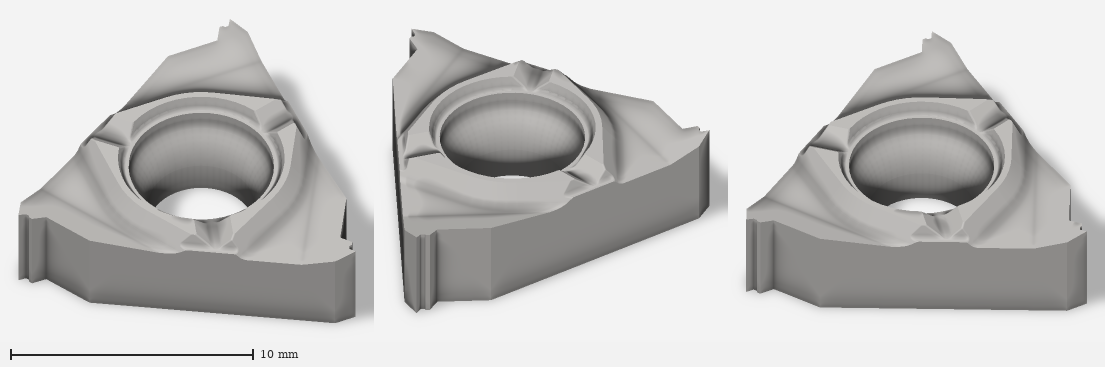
import cadquery as cq
import math

CORNERS = 3
HEIGHT = 4.2
FLANK_DISTANCE = 4.75

NEXT_FLANK_ANGLE = -60
FLANK_END_Y = -6.105
TIP_EDGE_LENGTH = 0.925
TIP_EDGE_ANGLE = 60
RELIEF_Y = -6.165
TOOTH_ROOT_X = -3.4
CREST_STEP_Y = -6.62
CREST_EDGE_Y = -6.7
CREST_STEP_START_X = -4.1
CREST_STEP_END_X = -3.94
CREST_EDGE_START_X = -3.89
CREST_EDGE_END_X = -3.73

FLOOR_Z = 3.38
RAMP_FOLD_Y = -4.715
RAMP_ANGLE = 15
RAMP_FOLD_RADIUS = 0.35
RAMP_END_Y = -8.0

BOSS_RADIUS = 3.71
BOSS_SIDE_ANGLE = 40
BOSS_FOOT_RADIUS = 0.4
BOSS_ARC_START = -1.4
BOSS_ARC_END = 30
CUT_REACH = 10.0

GROOVE_ANGLE = 74
GROOVE_FLOOR_Z = 3.7
GROOVE_TOP_WIDTH = 1.5
GROOVE_FLOOR_WIDTH = 0.25
GROOVE_FLOOR_RADIUS = 0.26
GROOVE_START = 2.6
LEDGE_Z = 3.68
LEDGE_FLAT_WIDTH = 0.08
LEDGE_FILLET = 0.22
LEDGE_WALL_ANGLE = 20
LEDGE_FLANK_ANGLE = 60
LEDGE_LENGTH = 5.0
PAD_EDGE_RADIUS = 0.08

HOLE_RADIUS = 4.4 / 2
SEAT_START_Z = 1.35
SEAT_ARC_RADIUS = 2.2
SEAT_ARC_ANGLE = 45
COUNTERBORE_RADIUS = 3.0
COUNTERBORE_FILLET = 0.5
RIM_FLOOR_Z = 3.7
RIM_WALL_ANGLE = 20
RIM_TOP_RADIUS = 3.44
RIM_FILLET = 0.2


def polar(radius, angle):
    """Point at a radius and a polar angle in degrees."""
    return radius * math.cos(math.radians(angle)), radius * math.sin(math.radians(angle))


def turned(point, angle):
    """Point turned about the origin by an angle in degrees."""
    c, s = polar(1, angle)
    return point[0] * c - point[1] * s, point[0] * s + point[1] * c


def around(solid):
    """The solid repeated once for each corner."""
    copies = [solid.rotate((0, 0, 0), (0, 0, 1), 360 / CORNERS * i) for i in range(CORNERS)]
    joined = copies[0]
    for copy in copies[1:]:
        joined = joined.union(copy)
    return joined


def upright(angle):
    """Plane with local x pointing outward at a polar angle and local y up; normal is clockwise."""
    outward = polar(1, angle)
    return cq.Plane(origin=(0, 0, 0), xDir=(*outward, 0), normal=(outward[1], -outward[0], 0))


def corner_points():
    """Outline of one corner, counterclockwise from the end of its flank to the next flank."""
    step_x, step_y = polar(TIP_EDGE_LENGTH, TIP_EDGE_ANGLE)
    tip = (-FLANK_DISTANCE + step_x, FLANK_END_Y - step_y)
    next_flank_normal = polar(1, NEXT_FLANK_ANGLE)
    relief_end_x = (FLANK_DISTANCE - RELIEF_Y * next_flank_normal[1]) / next_flank_normal[0]
    return [
        (-FLANK_DISTANCE, FLANK_END_Y),
        tip,
        (CREST_STEP_START_X, CREST_STEP_Y),
        (CREST_STEP_END_X, CREST_STEP_Y),
        (CREST_EDGE_START_X, CREST_EDGE_Y),
        (CREST_EDGE_END_X, CREST_EDGE_Y),
        (TOOTH_ROOT_X, RELIEF_Y),
        (relief_end_x, RELIEF_Y),
    ]


def outline_prism():
    """Full-height prism of the three-cornered outline."""
    points = []
    for i in range(CORNERS):
        points += [turned(p, 360 / CORNERS * i) for p in corner_points()]
    return cq.Workplane("XY").polyline(points).close().extrude(HEIGHT)


def boss_side_section(plane):
    """Region outside the boss side: sloped side, foot fillet and chip-face floor."""
    slope = math.radians(BOSS_SIDE_ANGLE)
    foot_r = BOSS_RADIUS + (HEIGHT - FLOOR_Z) * math.tan(slope)
    tangent = BOSS_FOOT_RADIUS * math.tan((math.pi / 2 - slope) / 2)
    fillet_start = (foot_r - tangent * math.sin(slope), FLOOR_Z + tangent * math.cos(slope))
    fillet_end = (foot_r + tangent, FLOOR_Z)
    centre = (fillet_end[0], FLOOR_Z + BOSS_FOOT_RADIUS)
    mid_dx, mid_dy = polar(BOSS_FOOT_RADIUS, -90 - (90 - BOSS_SIDE_ANGLE) / 2)
    return (
        cq.Workplane(plane)
        .moveTo(BOSS_RADIUS, HEIGHT)
        .lineTo(*fillet_start)
        .threePointArc((centre[0] + mid_dx, centre[1] + mid_dy), fillet_end)
        .lineTo(CUT_REACH, FLOOR_Z)
        .lineTo(CUT_REACH, HEIGHT)
        .close()
    )


def chip_floor_cut():
    """Material around one third of the boss: a round stretch between two straight ones."""
    arc = BOSS_ARC_END - BOSS_ARC_START
    round_part = boss_side_section(upright(BOSS_ARC_END)).revolve(arc, (0, 0, 0), (0, -1, 0))
    leading = boss_side_section(upright(BOSS_ARC_END)).extrude(-CUT_REACH)
    trailing = boss_side_section(upright(BOSS_ARC_START)).extrude(CUT_REACH)
    return round_part.union(leading).union(trailing)


def ramp():
    """Rake ramp of the (-X, -Y) corner, with a rounded fold where it leaves the floor."""
    tangent = RAMP_FOLD_RADIUS * math.tan(math.radians(RAMP_ANGLE / 2))
    slope = math.tan(math.radians(RAMP_ANGLE))
    run, climb = polar(tangent, RAMP_ANGLE)
    fold_start = (RAMP_FOLD_Y + tangent, FLOOR_Z)
    fold_end = (RAMP_FOLD_Y - run, FLOOR_Z + climb)
    mid_dy, mid_dz = polar(RAMP_FOLD_RADIUS, -90 - RAMP_ANGLE / 2)
    fold_mid = (fold_start[0] + mid_dy, FLOOR_Z + RAMP_FOLD_RADIUS + mid_dz)
    return (
        cq.Workplane("YZ")
        .moveTo(fold_start[0], 0)
        .lineTo(*fold_start)
        .threePointArc(fold_mid, fold_end)
        .lineTo(RAMP_END_Y, FLOOR_Z + (RAMP_FOLD_Y - RAMP_END_Y) * slope)
        .lineTo(RAMP_END_Y, 0)
        .close()
        .extrude(FLANK_DISTANCE, both=True)
    )


def groove():
    """Trapezoidal groove from the hole outward through the boss."""
    along = polar(1, GROOVE_ANGLE)
    across = cq.Plane(
        origin=(*polar(GROOVE_START, GROOVE_ANGLE), 0),
        xDir=(*polar(1, GROOVE_ANGLE + 90), 0),
        normal=(*along, 0),
    )
    return (
        cq.Workplane(across)
        .moveTo(-GROOVE_FLOOR_WIDTH / 2, GROOVE_FLOOR_Z)
        .lineTo(GROOVE_FLOOR_WIDTH / 2, GROOVE_FLOOR_Z)
        .lineTo(GROOVE_TOP_WIDTH / 2, HEIGHT)
        .lineTo(-GROOVE_TOP_WIDTH / 2, HEIGHT)
        .close()
        .extrude(CUT_REACH)
        .faces("<Z")
        .edges(cq.selectors.ParallelDirSelector(cq.Vector(*along, 0)))
        .fillet(GROOVE_FLOOR_RADIUS)
    )


def ledge():
    """Step along a flank: flat strip, fillet and steep wall up to the top face."""
    wall_foot = FLANK_DISTANCE - LEDGE_FLAT_WIDTH
    end_dr, end_dz = polar(LEDGE_FILLET, 180 + LEDGE_WALL_ANGLE)
    mid_dr, mid_dz = polar(LEDGE_FILLET, -90 - (90 - LEDGE_WALL_ANGLE) / 2)
    fillet_centre_z = LEDGE_Z + LEDGE_FILLET
    wall_start = (wall_foot + end_dr, fillet_centre_z + end_dz)
    wall_top = wall_start[0] - (HEIGHT - wall_start[1]) * math.tan(math.radians(LEDGE_WALL_ANGLE))
    return (
        cq.Workplane(upright(LEDGE_FLANK_ANGLE))
        .moveTo(CUT_REACH, LEDGE_Z)
        .lineTo(wall_foot, LEDGE_Z)
        .threePointArc((wall_foot + mid_dr, fillet_centre_z + mid_dz), wall_start)
        .lineTo(wall_top, HEIGHT)
        .lineTo(CUT_REACH, HEIGHT)
        .close()
        .extrude(LEDGE_LENGTH / 2, both=True)
    )


def screw_hole():
    """Bore, flared screw seat, counterbore and recessed rim, turned about Z."""
    centre_r = HOLE_RADIUS + SEAT_ARC_RADIUS
    seat_mid_dr, seat_mid_dz = polar(SEAT_ARC_RADIUS, 180 - SEAT_ARC_ANGLE / 2)
    seat_end_dr, seat_end_dz = polar(SEAT_ARC_RADIUS, 180 - SEAT_ARC_ANGLE)
    seat_end = (centre_r + seat_end_dr, SEAT_START_Z + seat_end_dz)
    cone_top_z = seat_end[1] + (COUNTERBORE_RADIUS - seat_end[0]) / math.tan(math.radians(SEAT_ARC_ANGLE))
    tangent = COUNTERBORE_FILLET * math.tan(math.radians(SEAT_ARC_ANGLE / 2))
    run, climb = polar(tangent, 90 - SEAT_ARC_ANGLE)
    fillet_start = (COUNTERBORE_RADIUS - run, cone_top_z - climb)
    fillet_end = (COUNTERBORE_RADIUS, cone_top_z + tangent)
    fillet_mid_dr, fillet_mid_dz = polar(COUNTERBORE_FILLET, -SEAT_ARC_ANGLE / 2)
    fillet_mid = (COUNTERBORE_RADIUS - COUNTERBORE_FILLET + fillet_mid_dr, fillet_end[1] + fillet_mid_dz)
    rim_slope = math.tan(math.radians(RIM_WALL_ANGLE))
    rim_foot_r = RIM_TOP_RADIUS - (HEIGHT - RIM_FLOOR_Z) * rim_slope
    profile = (
        cq.Workplane("XZ")
        .lineTo(HOLE_RADIUS, 0)
        .lineTo(HOLE_RADIUS, SEAT_START_Z)
        .threePointArc((centre_r + seat_mid_dr, SEAT_START_Z + seat_mid_dz), seat_end)
        .lineTo(*fillet_start)
        .threePointArc(fillet_mid, fillet_end)
        .lineTo(COUNTERBORE_RADIUS, RIM_FLOOR_Z)
        .lineTo(rim_foot_r, RIM_FLOOR_Z)
        .lineTo(RIM_TOP_RADIUS, HEIGHT)
        .lineTo(0, HEIGHT)
        .close()
    )
    hole = profile.revolve(360, (0, 0, 0), (0, 1, 0))
    rim_edge = cq.selectors.RadiusNthSelector(-2)
    return hole.edges("%CIRCLE").edges(rim_edge).fillet(RIM_FILLET)


def is_pad_edge(edge):
    """True for the sloping ridges of the boss beside a groove and a ledge."""
    start_z = edge.startPoint().z
    end_z = edge.endPoint().z
    centre = edge.Center()
    is_sloping = not math.isclose(start_z, end_z, abs_tol=1e-3)
    is_above_ledge = min(start_z, end_z) > LEDGE_Z
    return is_sloping and is_above_ledge and math.hypot(centre.x, centre.y) > BOSS_RADIUS


def is_groove_mouth_edge(edge):
    """True for the sloping curves where a groove wall meets the rim wall."""
    low_z, high_z = sorted((edge.startPoint().z, edge.endPoint().z))
    centre = edge.Center()
    reaches_top = math.isclose(high_z, HEIGHT, abs_tol=1e-3)
    is_sloping = RIM_FLOOR_Z < low_z < high_z - 1e-3
    return reaches_top and is_sloping and math.hypot(centre.x, centre.y) < BOSS_RADIUS


outline = outline_prism()
body = outline.cut(around(chip_floor_cut()))
body = body.cut(around(groove())).cut(around(ledge()))
body = body.edges("%LINE").filter(is_pad_edge).fillet(PAD_EDGE_RADIUS)
ramps = around(ramp().intersect(outline))
body = body.union(ramps).cut(screw_hole())
result = body.edges().filter(is_groove_mouth_edge).fillet(PAD_EDGE_RADIUS)